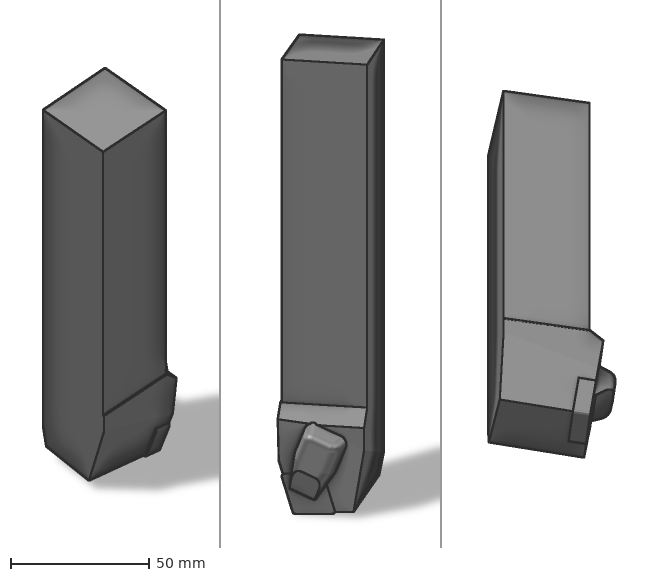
import cadquery as cq
import math


shank_side = 31.75
total_length = 171.35
head_width = 32.2
head_depth = 37.7
head_top_z = 41.6
side_lean = 0.5

seat_start_z = 26.4
seat_fall_x = 0.069
seat_rise_z = 0.117
seat_normal = cq.Vector(seat_fall_x, 1, -seat_rise_z)

corner_x = 26.7
corner_z = 0.71
side_angle = 15
end_angle = 5
relief_start_z = 25.8
relief_angle = 11
flank_depth = 80
flank_top = 300

insert_circle = 15.875
insert_thickness = 6.35
insert_corner_angle = 90 + side_angle - end_angle
insert_nose_radius = 1.2
insert_overhang = 0.75

clamp_back_x = 13.2
clamp_back_z = 34.0
clamp_axis_angle = 68
clamp_width = 16.5
clamp_straight = 14
clamp_length = 29
clamp_nose_width = 10
clamp_height = 6.69
clamp_taper = 15
clamp_corner_fillet = 3.5
clamp_top_fillet = 4.0
clamp_ramp_start = 16.5
clamp_nose_height = 0.3
clamp_root = 3


def sin(angle):
    return math.sin(math.radians(angle))


def cos(angle):
    return math.cos(math.radians(angle))


def tan(angle):
    return math.tan(math.radians(angle))


def seat_y(x, z):
    return head_depth - seat_fall_x * x + seat_rise_z * (z - seat_start_z)


def seat_plane(x, z, axis_angle):
    """Plane on the seat at (x, z): local X at axis_angle from +X towards -Z, local Z outward."""
    axis_x = cos(axis_angle)
    axis_z = -sin(axis_angle)
    axis_y = -seat_fall_x * axis_x + seat_rise_z * axis_z
    return cq.Plane(origin=(x, seat_y(x, z), z), xDir=(axis_x, axis_y, axis_z), normal=seat_normal)


def make_blank():
    """Square shank with the deeper head, its 45 degree shoulder and the leaning -X side."""
    shank = cq.Workplane("XY").box(shank_side, shank_side, total_length, centered=False)
    shoulder = head_depth - shank_side
    head = (
        cq.Workplane("YZ")
        .polyline([
            (0, 0),
            (0, head_top_z),
            (shank_side, head_top_z),
            (head_depth, head_top_z - shoulder),
            (head_depth, 0),
        ])
        .close()
        .extrude(head_width)
    )
    lean = (
        cq.Workplane("XY")
        .polyline([(0, 0), (side_lean, 0), (0, head_depth)])
        .close()
        .extrude(total_length)
    )
    return shank.union(head).cut(lean)


def make_flank_prism():
    """Prism square to the seat that bounds the head; local Y points down from the head corner."""
    relief_start_x = -corner_x
    relief_start_y = corner_z - relief_start_z
    foot_x = (relief_start_x - relief_start_y * tan(relief_angle)) / (1 - tan(end_angle) * tan(relief_angle))
    relief_top_x = relief_start_x - (flank_top + relief_start_y) * tan(relief_angle)
    return (
        cq.Workplane(seat_plane(corner_x, corner_z, 0))
        .polyline([
            (0, 0),
            (foot_x, foot_x * tan(end_angle)),
            (relief_top_x, -flank_top),
            (flank_top * tan(side_angle), -flank_top),
        ])
        .close()
        .extrude(-flank_depth)
    )


def make_insert():
    """Rhombic plate flush with the seat, its edges parallel to the side and bottom flanks."""
    edge = insert_circle / sin(insert_corner_angle)
    outset = insert_overhang / sin(insert_corner_angle)
    along_side = cq.Vector(sin(side_angle), -cos(side_angle))
    along_end = cq.Vector(-cos(end_angle), -sin(end_angle))
    tip = (along_side + along_end) * -outset
    corners = [
        tip,
        tip + along_side * edge,
        tip + (along_side + along_end) * edge,
        tip + along_end * edge,
    ]
    return (
        cq.Workplane(seat_plane(corner_x, corner_z, 0))
        .polyline([(corner.x, corner.y) for corner in corners])
        .close()
        .extrude(-insert_thickness)
        .edges(cq.ParallelDirSelector(seat_normal))
        .fillet(insert_nose_radius)
    )


def make_clamp():
    """Tapered, rounded clamp whose nose narrows and ramps down over the insert."""
    plane = seat_plane(clamp_back_x, clamp_back_z, clamp_axis_angle)
    root_growth = clamp_root * tan(clamp_taper)
    half_width = clamp_width / 2 + root_growth
    half_nose = clamp_nose_width / 2 + root_growth
    body = (
        cq.Workplane(plane)
        .workplane(offset=-clamp_root)
        .polyline([
            (-root_growth, -half_width),
            (clamp_straight, -half_width),
            (clamp_length, -half_nose),
            (clamp_length, half_nose),
            (clamp_straight, half_width),
            (-root_growth, half_width),
        ])
        .close()
        .extrude(clamp_root + clamp_height, taper=clamp_taper)
    )
    for side in (-1, 1):
        back_corner = plane.toWorldCoords((0, side * clamp_width / 2, 0))
        body = body.edges(cq.NearestToPointSelector(back_corner)).fillet(clamp_corner_fillet)
    body = body.faces(cq.DirectionMinMaxSelector(seat_normal)).edges().fillet(clamp_top_fillet)

    ramp = (
        cq.Workplane(cq.Plane(origin=plane.origin, xDir=plane.xDir, normal=-plane.yDir))
        .polyline([
            (clamp_ramp_start, clamp_height),
            (clamp_length, clamp_nose_height),
            (2 * clamp_length, clamp_nose_height),
            (2 * clamp_length, clamp_height),
        ])
        .close()
        .extrude(clamp_width, both=True)
    )
    return body.cut(ramp)


insert = make_insert()
holder = make_blank().intersect(make_flank_prism()).union(make_clamp()).cut(insert)

result = cq.Compound.makeCompound([holder.solids().val(), insert.val()])